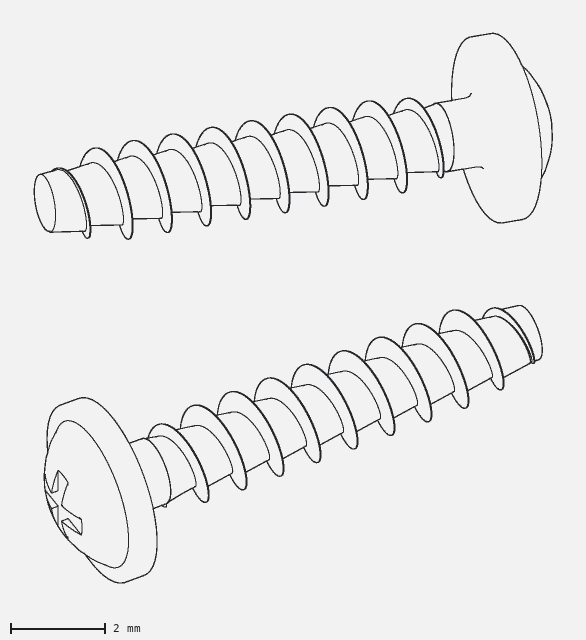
import cadquery as cq
import math

total_length = 11.35

recess_width = 0.44
recess_depth = 0.16

flange_radius = 2.0
flange_top = 0.84
flange_bottom = 1.35
flange_edge_round = 0.03
dome_sphere_radius = 2.0

neck_radius = 0.74
neck_end = 2.35
neck_fillet = 0.34

tip_rim_radius = 0.55
tip_dimple_depth = 0.05

run_half_turns = 3
full_half_turns = 15
half_turns = 2 * run_half_turns + full_half_turns
thread_start = 2.0
thread_length = 9.34
pitch = 2 * thread_length / half_turns

crest_radius = 1.02
crest_half_width = 0.01
thread_angle = 30
core_large_radius = 0.7
core_small_radius = 0.6
solid_core_radius = 0.58
root_radius = 0.55
ridge_step = 0.03
ramp_overlap = 0.07

run_in_radius = 0.73
run_out_radius = 0.59
lead_in_radius = 0.73
lead_in_end = 3.2


def revolve_about_axis(outline):
    """Revolve a closed radius/station outline about the screw axis."""
    return outline.close().revolve(360, (0, 0, 0), (0, 1, 0))


def sphere_drop(radius):
    """Depth of the dome surface below its apex at the given distance from the axis."""
    return dome_sphere_radius - math.sqrt(dome_sphere_radius**2 - radius**2)


def make_head_and_neck():
    apex_rise = sphere_drop(recess_width / math.sqrt(2))
    dome_height = flange_top + apex_rise
    dome_radius = math.sqrt(dome_sphere_radius**2 - (dome_sphere_radius - dome_height) ** 2)
    washer_edge = flange_radius - flange_edge_round
    diagonal = 1 - math.sqrt(0.5)
    edge_inset = flange_edge_round * diagonal
    fillet_inset = neck_fillet * diagonal
    outline = (
        cq.Workplane("XY")
        .moveTo(0, apex_rise)
        .threePointArc(
            (dome_radius / 2, apex_rise - sphere_drop(dome_radius / 2)),
            (dome_radius, -flange_top),
        )
        .lineTo(washer_edge, -flange_top)
        .threePointArc(
            (flange_radius - edge_inset, -flange_top - edge_inset),
            (flange_radius, -flange_top - flange_edge_round),
        )
        .lineTo(flange_radius, -flange_bottom + flange_edge_round)
        .threePointArc(
            (flange_radius - edge_inset, -flange_bottom + edge_inset),
            (washer_edge, -flange_bottom),
        )
        .lineTo(neck_radius + neck_fillet, -flange_bottom)
        .threePointArc(
            (neck_radius + fillet_inset, -flange_bottom - fillet_inset),
            (neck_radius, -flange_bottom - neck_fillet),
        )
        .lineTo(neck_radius, -neck_end)
        .lineTo(0, -neck_end)
    )
    return revolve_about_axis(outline)


def make_core():
    outline = (
        cq.Workplane("XY")
        .moveTo(0, -neck_end)
        .lineTo(lead_in_radius, -neck_end)
        .lineTo(solid_core_radius, -lead_in_end)
        .lineTo(solid_core_radius, -total_length)
        .lineTo(0, -total_length)
    )
    return revolve_about_axis(outline)


def crest_at(index):
    """Crest radius at the start of the given half turn."""
    run_out_start = run_half_turns + full_half_turns
    if index < run_half_turns:
        return run_in_radius + (crest_radius - run_in_radius) * index / run_half_turns
    if index <= run_out_start:
        return crest_radius
    return crest_radius + (run_out_radius - crest_radius) * (index - run_out_start) / run_half_turns


def thread_section(crest):
    """Thread cross-section as (radius, axial distance past the crest centre) points."""

    def flank_half_width(radius):
        return crest_half_width + (crest - radius) * math.tan(math.radians(thread_angle / 2))

    core_radius = min(core_large_radius, crest - ridge_step)
    ramp_end = pitch - ramp_overlap
    return [
        (root_radius, -flank_half_width(root_radius)),
        (crest, -crest_half_width),
        (crest, crest_half_width),
        (core_radius, flank_half_width(core_radius)),
        (core_small_radius, ramp_end),
        (root_radius, ramp_end),
    ]


def make_half_helix(start, end):
    """Half a turn of helix between two (radius, axial) points, straight-tapered in radius."""
    radius = start[0]
    growth = end[0] - radius
    rise = end[1] - start[1]
    centre = cq.Vector(0, 0, start[1])
    if growth == 0:
        return cq.Wire.makeHelix(2 * rise, rise, radius, center=centre)
    slant = math.hypot(rise, growth)
    cone_angle = math.degrees(math.atan2(growth, rise))
    return cq.Wire.makeHelix(2 * slant, slant, radius, center=centre, angle=cone_angle)


def make_half_turn(index):
    """Build half a turn of thread from ruled helical faces, advancing along -Y."""
    start_section = thread_section(crest_at(index))
    end_section = thread_section(crest_at(index + 1))
    helices = [
        make_half_helix(start, (end[0], end[1] + pitch / 2))
        for start, end in zip(start_section, end_section)
    ]
    faces = []
    for helix, next_helix in zip(helices, helices[1:] + helices[:1]):
        faces += cq.Face.makeRuledSurface(helix, next_helix).Faces()
    start_edge = cq.Wire.makePolygon([helix.startPoint() for helix in helices], close=True)
    end_edge = cq.Wire.makePolygon([helix.endPoint() for helix in helices], close=True)
    faces += [cq.Face.makeFromWires(start_edge), cq.Face.makeFromWires(end_edge)]
    half_turn = cq.Workplane(cq.Solid.makeSolid(cq.Shell.makeShell(faces)).fix())
    start_angle = 90 + 180 * index
    return (
        half_turn.rotate((0, 0, 0), (0, 0, 1), start_angle)
        .rotate((0, 0, 0), (1, 0, 0), 90)
        .translate((0, -thread_start - index * pitch / 2, 0))
    )


def make_cross_recess():
    slot = cq.Workplane("XY").box(2 * flange_radius, 2 * recess_depth, recess_width)
    return slot.union(slot.rotate((0, 0, 0), (0, 1, 0), 90))


def make_tip_dimple():
    outline = (
        cq.Workplane("XY")
        .moveTo(0, -total_length)
        .lineTo(tip_rim_radius, -total_length)
        .lineTo(0, -total_length + tip_dimple_depth)
    )
    return revolve_about_axis(outline)


def make_threaded_zone():
    """Clearance cylinder that trims the thread flush with the neck end and the tip."""
    start_plane = cq.Workplane("XZ").workplane(offset=neck_end)
    return start_plane.circle(flange_radius).extrude(total_length - neck_end)


screw = make_head_and_neck().union(make_core())
threaded_zone = make_threaded_zone()
for index in range(half_turns):
    screw = screw.union(make_half_turn(index).intersect(threaded_zone))
result = screw.cut(make_cross_recess()).cut(make_tip_dimple())